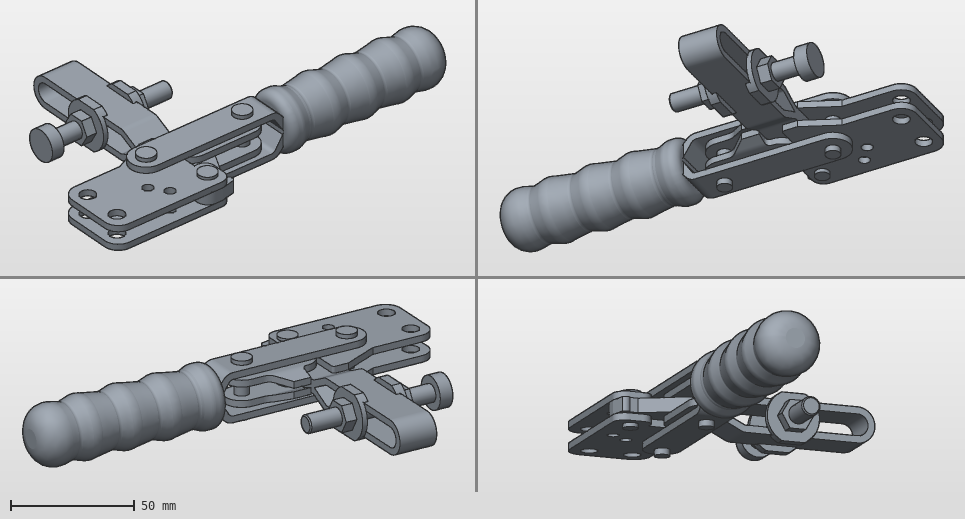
import cadquery as cq
import math


sheet = 3.0
half_gap = 3.0
plate_outer = half_gap + sheet

pin_radius = 3.2
rivet_head_radius = 4.4
upper_pivot = (0, 50.3)
lower_pivot = (0, 0)
rear_pivot = (20.0, 16.0)
link_pivot = (0, 23.7)

lever_half_width = 8.0
lever_outer = 11.2
lever_inner = lever_outer - sheet
lever_head_top = 13.0
lever_tail_end = -13.8
fork_bend_outer = 62.0
fork_bend_inner = 60.5
fork_bend_radius = 5.7
fork_throat = 65.8
tang_start = 68.9
tang_end = 113.8
tang_half = sheet

grip_bottom = 65.0
grip_top = 151.0
grip_radius = 14.0
grip_neck_radius = 12.3
grip_bottom_round = 4.0
grip_end_flat = 4.2
grip_dome_radius = 13.0
grip_dome_mid = (10.8, 148.2)
grip_dome_base = 138.9
ring_top = 135.5
ring_pitch = 19.0
ring_count = 3
neck_length = 1.7
neck_dip = 0.2
flank_length = 4.4
crest_length = 4.4
crest_edge_radius = 13.7
collar_flare = (12.5, 75.7)
collar_shoulder = 72.8
collar_top = 71.1
collar_dip = 0.1

base_left = -7.0
base_right = 28.0
base_bottom = -38.7
base_top = 15.7
base_wing_left = -14.8
base_wing_bottom = 8.3
base_shoulder = -8.2
base_wing_round = 1.1
base_corner_round = 7.0
ear_left = 11.8
ear_top = 22.2
ear_left_round = 4.7
ear_right_round = 5.3
mount_hole_radius = 3.6
mount_holes = [(1.0, -31.3), (19.7, -31.3)]
stop_hole_radius = 2.5
stop_holes = [(12.3, -9.1), (20.0, -3.6)]
base_head_top = 7.4
base_tail_end = -7.8

arm_tip = -82.7
arm_outer = 7.5
arm_inner = arm_outer - sheet
arm_bottom = 8.3
arm_top = 26.0
arm_taper_start = -25.5
arm_taper_end = -16.1
arm_bend_radius = 5.1
tail_corner_round = 5.5
tail_left = -6.8

link_half_width = 7.8
flange_fold = -8.5
flange_tip = -14.6
flange_fold_radius = 8.3
flange_drop = 2.3
flange_bottom = 26.2
flange_shoulder = 34.3
flange_start = 42.3
flange_blend_radius = 5.7
flange_heel_radius = 2.0

screw_x = -46.3
screw_radius = 4.0
screw_top = 48.5
screw_end_chamfer = 0.5
screw_head_radius = 7.4
screw_head_bottom = -17.5
screw_head_height = 6.0
washer_radius = 11.4
washer_half_height = 10.2
washer_plate = 2.3
washer_lip = 2.0
nut_corner_diameter = 13.8
nut_height = 5.1


def rod(center, radius, z_low, z_high):
    """A cylinder along Z."""
    return cq.Workplane("XY", origin=(0, 0, z_low)).center(*center).circle(radius).extrude(z_high - z_low)


def plate(outline, z_low, z_high):
    """A closed XY outline extruded between two heights."""
    return outline.extrude(z_high - z_low).translate((0, 0, z_low))


def along_y(outline, y_low, y_high):
    """A closed XZ outline extruded between two Y values."""
    return outline.extrude(-(y_high - y_low)).translate((0, y_low, 0))


def mirrored_pair(upper):
    """A shape above Z = 0 together with its mirror image."""
    return upper.union(upper.mirror("XY"))


def rounded_fold(body, axis, point, radius):
    """Rounds the edge parallel to an axis whose middle is nearest to a point."""
    return body.edges("|" + axis).edges(cq.NearestToPointSelector(point)).fillet(radius)


def make_lever():
    upper_leg_profile = [
        (0, lever_inner),
        (fork_bend_inner, lever_inner),
        (fork_throat, 0),
        (tang_end, 0),
        (tang_end, tang_half),
        (tang_start, tang_half),
        (fork_bend_outer, lever_outer),
        (0, lever_outer),
    ]
    upper_leg = (
        cq.Workplane("YZ").polyline(upper_leg_profile).close().extrude(lever_half_width, both=True)
    )
    upper_leg = rounded_fold(upper_leg, "X", (0, fork_bend_outer, lever_outer), fork_bend_radius)
    upper_leg = rounded_fold(upper_leg, "X", (0, fork_bend_inner, lever_inner), fork_bend_radius - sheet)
    upper_leg = upper_leg.union(rod(lower_pivot, lever_half_width, lever_inner, lever_outer))
    lever = mirrored_pair(upper_leg)
    for pivot in (lower_pivot, upper_pivot):
        lever = lever.cut(rod(pivot, pin_radius, -lever_outer, lever_outer))
    return lever


def make_grip(lever):
    profile = (
        cq.Workplane("XY")
        .moveTo(0, grip_top)
        .lineTo(grip_end_flat, grip_top)
        .threePointArc(grip_dome_mid, (grip_dome_radius, grip_dome_base))
    )
    for ring in range(ring_count + 1):
        neck = ring_top - ring * ring_pitch
        profile = profile.lineTo(grip_neck_radius, neck).threePointArc(
            (grip_neck_radius - neck_dip, neck - neck_length / 2), (grip_neck_radius, neck - neck_length)
        )
        if ring < ring_count:
            crest = neck - neck_length - flank_length
            profile = profile.lineTo(crest_edge_radius, crest).threePointArc(
                (grip_radius, crest - crest_length / 2), (crest_edge_radius, crest - crest_length)
            )
    profile = (
        profile.lineTo(*collar_flare)
        .lineTo(crest_edge_radius, collar_shoulder)
        .threePointArc((grip_radius - collar_dip, (collar_shoulder + collar_top) / 2), (grip_radius, collar_top))
        .lineTo(grip_radius, grip_bottom + grip_bottom_round)
        .radiusArc((grip_radius - grip_bottom_round, grip_bottom), grip_bottom_round)
        .lineTo(0, grip_bottom)
        .close()
    )
    return profile.revolve(360, (0, 0, 0), (0, 1, 0)).cut(lever)


def make_base():
    outline = (
        cq.Workplane("XY")
        .moveTo(base_left, base_bottom)
        .lineTo(base_right, base_bottom)
        .lineTo(base_right, ear_top)
        .lineTo(ear_left, ear_top)
        .lineTo(ear_left, base_top)
        .lineTo(base_wing_left, base_top)
        .lineTo(base_wing_left, base_wing_bottom)
        .lineTo(base_left, base_shoulder)
        .close()
    )
    upper = plate(outline, half_gap, plate_outer)
    rounds = [
        ((base_left, base_bottom), base_corner_round),
        ((base_right, base_bottom), base_corner_round),
        ((base_right, ear_top), ear_right_round),
        ((ear_left, ear_top), ear_left_round),
        ((base_wing_left, base_top), base_wing_round),
    ]
    for corner, radius in rounds:
        upper = upper.edges(cq.NearestToPointSelector((*corner, half_gap + sheet / 2))).fillet(radius)
    for holes, radius in ((mount_holes, mount_hole_radius), (stop_holes, stop_hole_radius)):
        for hole in holes:
            upper = upper.cut(rod(hole, radius, half_gap, plate_outer))
    upper = upper.cut(rod(lower_pivot, pin_radius, half_gap, plate_outer))
    rivet = rod(rear_pivot, pin_radius, base_tail_end, plate_outer)
    rivet_head = rod(rear_pivot, rivet_head_radius, plate_outer, base_head_top)
    return mirrored_pair(upper).union(rivet).union(rivet_head)


def loop_outline(half_height, tip_center, taper_start, taper_end, end_half_height):
    """A loop that is round at its tip and tapers to its other end."""
    return (
        cq.Workplane("XZ")
        .moveTo(tip_center, half_height)
        .threePointArc((tip_center - half_height, 0), (tip_center, -half_height))
        .lineTo(taper_start, -half_height)
        .lineTo(taper_end, -end_half_height)
        .lineTo(taper_end, end_half_height)
        .lineTo(taper_start, half_height)
        .close()
    )


def make_arm():
    tip_center = arm_tip + arm_outer
    taper_angle = math.atan2(arm_outer - half_gap, arm_taper_end - arm_taper_start)
    inner_taper_start = arm_taper_start - sheet * math.tan(taper_angle / 2)
    inner_taper_end = inner_taper_start + arm_inner / math.tan(taper_angle)
    outer_loop = loop_outline(arm_outer, tip_center, arm_taper_start, arm_taper_end, half_gap)
    slot = (
        cq.Workplane("XZ")
        .moveTo(tip_center, arm_inner)
        .threePointArc((tip_center - arm_inner, 0), (tip_center, -arm_inner))
        .lineTo(inner_taper_start, -arm_inner)
        .lineTo(inner_taper_end, 0)
        .lineTo(inner_taper_start, arm_inner)
        .close()
    )
    loop = along_y(outer_loop, arm_bottom, arm_top).cut(along_y(slot, arm_bottom, arm_top))
    arm_middle = (arm_bottom + arm_top) / 2
    tail_outline = (
        cq.Workplane("XY")
        .moveTo(arm_taper_end, arm_bottom)
        .lineTo(base_right - tail_corner_round, arm_bottom)
        .radiusArc((base_right, arm_bottom + tail_corner_round), -tail_corner_round)
        .lineTo(base_right, 17.6)
        .lineTo(26.5, 24.0)
        .threePointArc((24.9, 25.0), (23.1, 23.9))
        .lineTo(19.5, 23.7)
        .lineTo(3.6, 32.0)
        .threePointArc((-4.7, 31.5), (tail_left, arm_top))
        .lineTo(arm_taper_end, arm_top)
        .close()
    )
    tail = plate(tail_outline, -half_gap, half_gap)
    arm = loop.union(tail)
    for side in (1, -1):
        bends = [
            ((arm_taper_start, arm_middle, side * arm_outer), arm_bend_radius),
            ((inner_taper_start, arm_middle, side * arm_inner), arm_bend_radius - sheet),
            ((arm_taper_end, arm_middle, side * half_gap), arm_bend_radius),
        ]
        for fold, radius in bends:
            arm = rounded_fold(arm, "Y", fold, radius)
    for pivot in (rear_pivot, link_pivot):
        arm = arm.cut(rod(pivot, pin_radius, -half_gap, half_gap))
    return arm


def make_link():
    outline = (
        cq.Workplane("XY")
        .moveTo(link_half_width, link_pivot[1])
        .lineTo(link_half_width, upper_pivot[1])
        .threePointArc((0, upper_pivot[1] + link_half_width), (-link_half_width, upper_pivot[1]))
        .lineTo(-link_half_width, flange_start)
        .lineTo(flange_tip, flange_shoulder)
        .lineTo(flange_tip, flange_bottom)
        .lineTo(-link_half_width, flange_bottom)
        .lineTo(-link_half_width, link_pivot[1])
        .threePointArc((0, link_pivot[1] - link_half_width), (link_half_width, link_pivot[1]))
        .close()
    )
    section = (
        cq.Workplane("XZ")
        .moveTo(link_half_width, half_gap)
        .lineTo(link_half_width, plate_outer)
        .lineTo(flange_fold, plate_outer)
        .lineTo(flange_tip, plate_outer - flange_drop)
        .lineTo(flange_tip, half_gap - flange_drop)
        .lineTo(flange_fold, half_gap)
        .close()
    )
    blank = plate(outline, 0, plate_outer)
    blank = rounded_fold(blank, "Z", (-link_half_width, flange_start, half_gap), flange_blend_radius)
    blank = rounded_fold(blank, "Z", (-link_half_width, flange_bottom, half_gap), flange_heel_radius)
    link_length = upper_pivot[1] + link_half_width
    sheet_bar = along_y(section, 0, link_length)
    fold_middle = link_length / 2
    sheet_bar = rounded_fold(sheet_bar, "Y", (flange_fold, fold_middle, plate_outer), flange_fold_radius)
    sheet_bar = rounded_fold(sheet_bar, "Y", (flange_fold, fold_middle, half_gap), flange_fold_radius - sheet)
    upper = sheet_bar.intersect(blank)
    upper = upper.cut(rod(upper_pivot, pin_radius, half_gap, plate_outer))
    return mirrored_pair(upper).union(rod(link_pivot, pin_radius, -plate_outer, plate_outer))


def make_lever_rivet(pivot):
    shank = rod(pivot, pin_radius, lever_tail_end, lever_outer)
    return shank.union(rod(pivot, rivet_head_radius, lever_outer, lever_head_top))


def screw_disc(y_low, y_high, radius):
    return along_y(cq.Workplane("XZ").center(screw_x, 0).circle(radius), y_low, y_high)


def make_upper_fasteners():
    """The washer and nut above the arm."""
    washer_top = arm_top + washer_plate
    washer = screw_disc(arm_top - washer_lip, washer_top, washer_radius)
    flats = cq.Workplane("XY").box(2 * washer_radius, 189.7, 2 * washer_half_height).translate((screw_x, 0, 0))
    arm_channel = along_y(
        cq.Workplane("XZ").center(screw_x, 0).rect(2 * washer_radius, 2 * arm_outer),
        arm_top - washer_lip,
        arm_top,
    )
    nut_outline = cq.Workplane("XZ").center(screw_x, 0).polygon(6, nut_corner_diameter)
    nut = along_y(nut_outline, washer_top, washer_top + nut_height)
    return washer.intersect(flats).cut(arm_channel).union(nut)


def make_screw():
    arm_middle = (arm_top + arm_bottom) / 2
    shank = screw_disc(screw_head_bottom, screw_top, screw_radius).faces(">Y").chamfer(screw_end_chamfer)
    head = screw_disc(screw_head_bottom, screw_head_bottom + screw_head_height, screw_head_radius)
    upper = make_upper_fasteners()
    lower = upper.mirror("XZ", (0, arm_middle, 0))
    return shank.union(head).union(upper).union(lower)


lever = make_lever()
grip = make_grip(lever)
base = make_base()
arm = make_arm()
link = make_link()
screw = make_screw()
rivets = [make_lever_rivet(pivot) for pivot in (lower_pivot, upper_pivot)]

result = cq.Compound.makeCompound(
    [body.val() for body in (lever, grip, base, arm, link, screw, *rivets)]
)